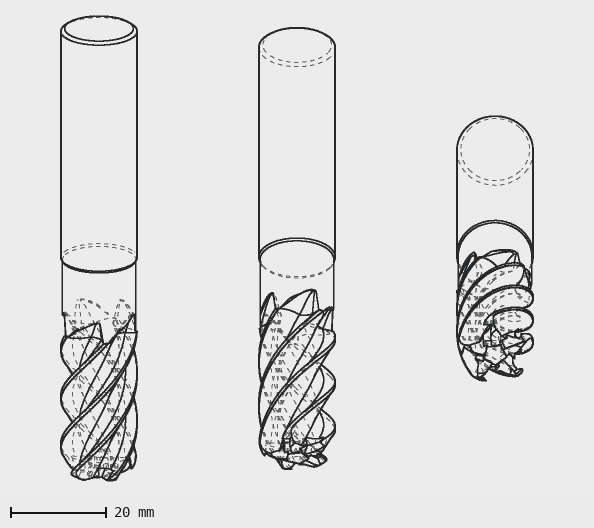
import cadquery as cq
import math

overall_length = 100.0
shank_diameter = 16.0
shank_end = 48.6
neck_diameter = 15.4
step_height = 0.5
cap_chamfer_width = 0.8
cap_chamfer_height = 0.6
cutting_length = 32.2
corner_radius = 4.0

flute_count = 5
lead = 54.0
edge_angle = 38.0
land_radius = 7.9
land_angle = 7.0
back_radius = 6.3
back_angle = 22.0
core_radius = 4.2
floor_start_angle = 42.0
floor_middle_radius = 4.4
floor_middle_angle = 58.0
rake_start_radius = 5.6
rake_start_angle = 70.5

runout_focus_angle = 65.0
runout_stages = [
    (0.0, 1.0),
    (2.5, 0.6),
    (4.0, 0.32),
    (4.5, 0.16),
]

gash_angle = -84.0
gash_inner = 2.0
gash_outer = 6.6
gash_height = 2.9
gash_wall_bottom = -0.5
gash_wall_top = 0.9
gash_front = -2.2

relief_width = 4.5
relief_slope = 16.0

shank_radius = shank_diameter / 2
neck_radius = neck_diameter / 2
pitch_angle = 360.0 / flute_count
overcut = 1.0
overcut_radius = shank_radius + overcut


def polar(radius, angle):
    turn = math.radians(angle)
    return cq.Vector(radius * math.cos(turn), radius * math.sin(turn))


def cut_around(body, tool):
    """Cut a tool from the body once per flute."""
    tools = [
        tool.rotate((0, 0, 0), (0, 0, 1), index * pitch_angle).val()
        for index in range(flute_count)
    ]
    return cq.Workplane(body.val().cut(*tools).Solids()[0])


def flute_section(height, scale=1.0, turn=0.0):
    """Closed flute outline at a height, shrunk toward the run-out focus when scale is below 1."""
    focus = polar(neck_radius, runout_focus_angle + turn)

    def place(radius, angle):
        point = focus + (polar(radius, angle + turn) - focus) * scale
        return point.x, point.y

    return (
        cq.Workplane("XY", origin=(0, 0, height))
        .moveTo(*place(overcut_radius, land_angle))
        .lineTo(*place(land_radius, land_angle))
        .threePointArc(place(back_radius, back_angle), place(core_radius, floor_start_angle))
        .threePointArc(
            place(floor_middle_radius, floor_middle_angle),
            place(rake_start_radius, rake_start_angle),
        )
        .lineTo(*place(shank_radius, pitch_angle))
        .lineTo(*place(overcut_radius, pitch_angle))
        .threePointArc(
            place(overcut_radius, (land_angle + pitch_angle) / 2),
            place(overcut_radius, land_angle),
        )
        .close()
    )


def helical_flute():
    """One flute through the whole cutting head, started a little below the end face."""
    start_turn = edge_angle - 360 * overcut / lead
    length = cutting_length + 2 * overcut
    return flute_section(-overcut, turn=start_turn).twistExtrude(length, 360 * length / lead)


def runout():
    top_turn = edge_angle + 360 * cutting_length / lead
    sections = [
        flute_section(cutting_length + rise, scale, top_turn).val()
        for rise, scale in runout_stages
    ]
    return cq.Workplane(cq.Solid.makeLoft(sections))


def end_gash():
    """Groove with a tilted wall, lying along +X before it is turned into place."""
    return (
        cq.Workplane("YZ", origin=(gash_inner, 0, 0))
        .moveTo(gash_front, 0)
        .lineTo(gash_wall_bottom, 0)
        .lineTo(gash_wall_top, gash_height)
        .lineTo(gash_front, gash_height)
        .close()
        .extrude(gash_outer - gash_inner)
    )


def end_relief():
    """Wedge that lifts the end of a tooth behind its end cutting edge, lying along +X."""
    rise = relief_width * math.tan(math.radians(relief_slope))
    return (
        cq.Workplane("YZ", origin=(gash_inner, 0, 0))
        .moveTo(gash_wall_bottom, 0)
        .lineTo(gash_wall_bottom + relief_width, 0)
        .lineTo(gash_wall_bottom + relief_width, rise)
        .close()
        .extrude(overcut_radius - gash_inner)
    )


def make_shank():
    """Chamfered shank with its neck and the flute run-outs."""
    body = (
        cq.Workplane("XZ")
        .moveTo(0, cutting_length)
        .lineTo(neck_radius, cutting_length)
        .lineTo(neck_radius, shank_end - step_height)
        .lineTo(shank_radius, shank_end)
        .lineTo(shank_radius, overall_length - cap_chamfer_height)
        .lineTo(shank_radius - cap_chamfer_width, overall_length)
        .lineTo(0, overall_length)
        .close()
        .revolve(360, (0, 0, 0), (0, 1, 0))
    )
    return cut_around(body, runout())


def make_cutting_head():
    """Round-cornered cutting head with helical teeth."""
    arc_middle = corner_radius * math.sqrt(0.5)
    body = (
        cq.Workplane("XZ")
        .lineTo(shank_radius - corner_radius, 0)
        .threePointArc(
            (shank_radius - corner_radius + arc_middle, corner_radius - arc_middle),
            (shank_radius, corner_radius),
        )
        .lineTo(shank_radius, cutting_length)
        .lineTo(0, cutting_length)
        .close()
        .revolve(360, (0, 0, 0), (0, 1, 0))
    )
    body = cut_around(body, helical_flute())
    body = cut_around(body, end_gash().rotate((0, 0, 0), (0, 0, 1), gash_angle))
    return cut_around(body, end_relief().rotate((0, 0, 0), (0, 0, 1), gash_angle))


shank = make_shank()
cutting_head = make_cutting_head()
result = cq.Compound.makeCompound([shank.val(), cutting_head.val()])